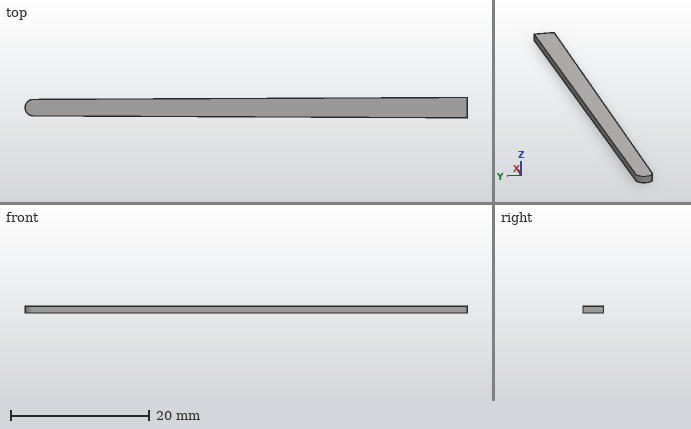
import cadquery as cq

length = 63.91
thickness = 1.0

wide_end_width = 2.97
tip_width = 2.42

tip_radius = tip_width / 2
wide_end_half_width = wide_end_width / 2


def make_tapered_strip():
    """Flat strip with its half-round tip at X = 0, symmetric about the XZ plane."""
    return (
        cq.Workplane("XY")
        .moveTo(length, -wide_end_half_width)
        .lineTo(tip_radius, -tip_radius)
        .threePointArc((0, 0), (tip_radius, tip_radius))
        .lineTo(length, wide_end_half_width)
        .close()
        .extrude(thickness)
    )


result = make_tapered_strip()